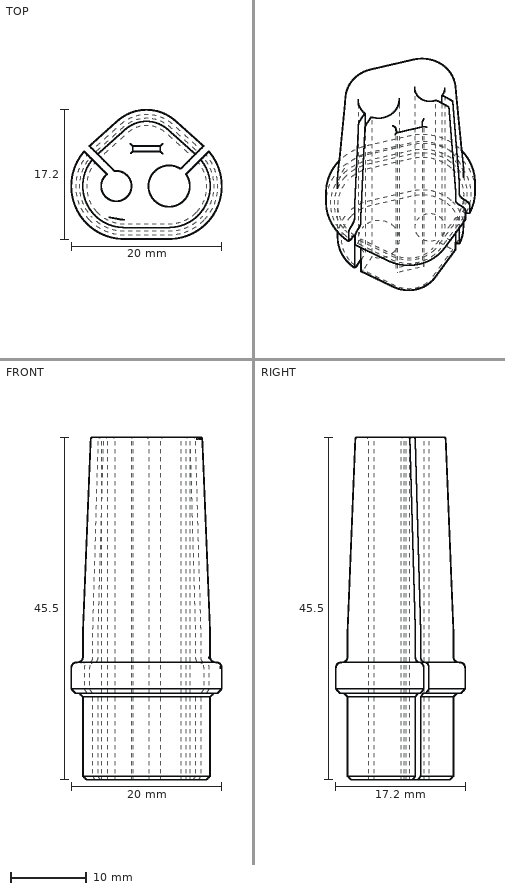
import cadquery as cq
import math

total_height = 45.5
flange_bottom = 11.45
flange_top = 15.6
taper_start = 19.5

lobe_x = 2.95
lobe_radius = 5.5
apex_y = 4.35
apex_radius = 4.25
flange_overhang = 1.55
taper_inset = 1.05

foot_chamfer = 0.5
top_fillet = 0.3
flange_lower_chamfer = 0.6
flange_upper_fillet = 0.77
flange_root_chamfer = 0.45
flange_root_fillet = 0.7
mouth_fillet = 0.4

small_hole_x = -4.0
small_hole_radius = 2.0
large_hole_x = 3.0
large_hole_radius = 2.75
slot_length = 3.65
slot_width = 0.7
slot_y = 4.95

slit_width = 1.0
slit_angle = 45.0
slit_reach = 13.65


def outline(z, offset=0.0):
    """Closed outline of three tangent lobes, grown outward by offset."""
    low_r = lobe_radius + offset
    apex_r = apex_radius + offset
    center_distance = math.hypot(lobe_x, apex_y)
    normal_angle = math.atan2(-apex_y, lobe_x) + math.acos((apex_radius - lobe_radius) / center_distance)
    nx = math.cos(normal_angle)
    ny = math.sin(normal_angle)
    middle_angle = (normal_angle - math.pi / 2) / 2
    mid_x = lobe_x + low_r * math.cos(middle_angle)
    mid_y = low_r * math.sin(middle_angle)
    return (
        cq.Workplane("XY", origin=(0, 0, z))
        .moveTo(-lobe_x, -low_r)
        .lineTo(lobe_x, -low_r)
        .threePointArc((mid_x, mid_y), (lobe_x + low_r * nx, low_r * ny))
        .lineTo(apex_r * nx, apex_y + apex_r * ny)
        .threePointArc((0, apex_y + apex_r), (-apex_r * nx, apex_y + apex_r * ny))
        .lineTo(-lobe_x - low_r * nx, low_r * ny)
        .threePointArc((-mid_x, mid_y), (-lobe_x, -low_r))
        .close()
    )


def make_body():
    """Straight stem with a chamfered foot and a tapered upper sleeve."""
    stem = outline(0).extrude(taper_start).faces("<Z").chamfer(foot_chamfer)
    taper_height = total_height - taper_start
    taper_angle = math.degrees(math.atan(taper_inset / taper_height))
    sleeve = outline(taper_start).extrude(taper_height, taper=taper_angle)
    sleeve = sleeve.faces(">Z").edges().fillet(top_fillet)
    return stem.union(sleeve)


def make_flange():
    """Collar with a chamfered lower rim and a rounded upper rim."""
    flange = outline(flange_bottom, flange_overhang).extrude(flange_top - flange_bottom)
    flange = flange.faces("<Z").chamfer(flange_lower_chamfer)
    return flange.faces(">Z").edges().fillet(flange_upper_fillet)


def root_edges(solid, z):
    """Edges at height z where the flange meets the stem."""
    margin = 0.025
    near_stem = outline(z - margin, margin).extrude(2 * margin).val()
    return solid.edges().filter(lambda edge: near_stem.isInside(edge.positionAt(0.5)))


def round_hole(x, radius):
    return cq.Workplane("XY").center(x, 0).circle(radius).extrude(total_height)


def side_slit(hole_x, side):
    """Slit on a slanted line through the lobe center, opening into its hole."""
    start = (side * hole_x - lobe_x) * math.cos(math.radians(slit_angle))
    return (
        cq.Workplane("XY")
        .box(slit_reach, slit_width, total_height, centered=(False, True, False))
        .translate((start, 0, 0))
        .rotate((0, 0, 0), (0, 0, 1), 90 - side * (90 - slit_angle))
        .translate((side * lobe_x, 0, 0))
    )


body = make_body().union(make_flange())
body = root_edges(body, flange_bottom).chamfer(flange_root_chamfer)
body = root_edges(body, flange_top).fillet(flange_root_fillet)

body = body.cut(round_hole(small_hole_x, small_hole_radius))
body = body.cut(round_hole(large_hole_x, large_hole_radius))
slot = cq.Workplane("XY").center(0, slot_y).rect(slot_length, slot_width).extrude(total_height)
body = body.cut(slot)
mouths = [edge for wire in body.faces(">Z").val().innerWires() for edge in wire.Edges()]
body = body.newObject(mouths).fillet(mouth_fillet)

body = body.cut(side_slit(small_hole_x, -1))
result = body.cut(side_slit(large_hole_x, 1))